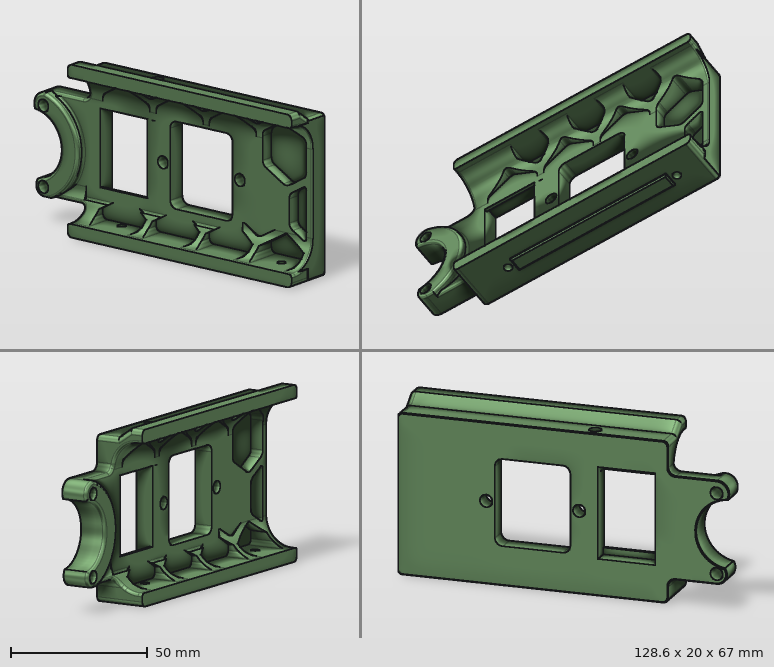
import cadquery as cq
import math

LENGTH = 128.6
DEPTH = 20.0
HEIGHT = 66.0
BLOCK_LEFT = 23.7
CORNER_R = 2.0
BACK_CHAMFER = 0.4
RIM_R = 1.2
END_RELIEF = 0.4
RELIEF_FRONT = 9.6

PLATE_FRONT = 12.7
CHANNEL_R = 10.8
LIP = 5.1
CHANNEL_Y = PLATE_FRONT - CHANNEL_R
CHANNEL_LOW = LIP + CHANNEL_R
CHANNEL_HIGH = HEIGHT - CHANNEL_LOW

STEP_Z = 62.3
SLOPE_FRONT = 5.3
SLOPE_BACK = 10.7

ARM_LOW = 9.4
ARM_HIGH = 49.3
EAR_X = 4.9
EAR_HIGH_R = EAR_X
EAR_LOW_R = 4.0
EAR_HIGH_Z = ARM_HIGH - EAR_HIGH_R
EAR_LOW_Z = ARM_LOW + EAR_LOW_R
RING_X = -0.4
RING_Z = (EAR_HIGH_Z + EAR_LOW_Z) / 2
RING_INNER_R = 13.3
RING_OUTER_R = 21.2
BOSS_FRONT = 9.3
BOSS_BASE_R = 0.9
NECK_R = 3.0

WINDOW_Z = 31.9
SNAP_WINDOW_X = 39.8
SNAP_WINDOW_WIDTH = 22.1
SNAP_WINDOW_HEIGHT = 30.2
SNAP_LIP = 1.3
SNAP_UNDERCUT = 2.6
WIDE_WINDOW_X = 76.2
WIDE_WINDOW_WIDTH = 29.2
WIDE_WINDOW_HEIGHT = 33.5
WIDE_WINDOW_R = 3.0
SCREW_D = 4.8
SCREW_OFFSET = 18.0
TOP_HOLE_X = 53.4
TOP_HOLE_Y = 15.5
TOP_HOLE_DEPTH = 15.5
PIN_D = 3.2

CELL_FLATS = 22.0
CELL_CORNERS = CELL_FLATS * 2 / math.sqrt(3)
CELL_R = 3.0
CELL_PITCH = 25.0
ROW_PITCH = CELL_PITCH * math.sqrt(3) / 2
FIRST_CELL_X = 41.0
CELL_COUNT = 4
LAST_CELL_X = FIRST_CELL_X + (CELL_COUNT - 1) * CELL_PITCH
UPPER_ROW_Z = 46.2
CELL_LIMIT_X = 125.4
DEEP_FLOOR = 17.9
TIGHT_R = 1.0
FLOOR_R = 2.0
POINT_UP = 30

SHELF_LEFT = 22.3
SHELF_RIGHT = 95.6
SHELF_Z = 11.2
SHELF_R = 0.9

KEY_X = (FIRST_CELL_X + LAST_CELL_X) / 2
KEY_Y = DEPTH / 2
KEY_LENGTH = 69.3
KEY_WIDTH = 6.2
KEY_HEIGHT = 1.0
KEY_CHAMFER = 0.6

PAST = 1.3
REACH = 0.1
EDGE_REACH = 0.4


def box(x_min, x_max, y_min, y_max, z_min, z_max):
    size = (x_max - x_min, y_max - y_min, z_max - z_min)
    return cq.Workplane("XY").box(*size, centered=False).translate((x_min, y_min, z_min))


def front_sketch(y_back):
    """Workplane facing the front; extrusions run forward from y_back."""
    return cq.Workplane("XZ", origin=(0, y_back, 0))


def disc(x, z, radius, y_front, y_back):
    return front_sketch(y_back).center(x, z).circle(radius).extrude(y_back - y_front)


def section():
    diagonal = CHANNEL_R * math.sqrt(0.5)
    return (
        cq.Workplane("YZ")
        .moveTo(0, 0)
        .lineTo(DEPTH, 0)
        .lineTo(DEPTH, STEP_Z)
        .lineTo(SLOPE_BACK, STEP_Z)
        .lineTo(SLOPE_FRONT, HEIGHT)
        .lineTo(0, HEIGHT)
        .lineTo(0, HEIGHT - LIP)
        .lineTo(CHANNEL_Y, HEIGHT - LIP)
        .threePointArc((CHANNEL_Y + diagonal, CHANNEL_HIGH + diagonal), (PLATE_FRONT, CHANNEL_HIGH))
        .lineTo(PLATE_FRONT, CHANNEL_LOW)
        .threePointArc((CHANNEL_Y + diagonal, CHANNEL_LOW - diagonal), (CHANNEL_Y, LIP))
        .lineTo(0, LIP)
        .close()
        .extrude(LENGTH)
    )


def outline():
    """Front outline of the block and its arm, through the full depth."""
    block = box(BLOCK_LEFT, LENGTH, 0, DEPTH, 0, HEIGHT)
    block = block.edges("|Y and <Z").fillet(CORNER_R)
    arm = box(EAR_X, BLOCK_LEFT + PAST, 0, DEPTH, ARM_LOW, ARM_HIGH)
    necks = cq.selectors.BoxSelector(
        (BLOCK_LEFT - REACH, -PAST, ARM_LOW - REACH),
        (BLOCK_LEFT + REACH, DEPTH + PAST, ARM_HIGH + REACH),
    )
    return block.union(arm).edges("|Y").edges(necks).fillet(NECK_R)


def round_top_corners(part):
    for x in (BLOCK_LEFT, LENGTH):
        corner = cq.selectors.BoxSelector(
            (x - REACH, REACH, STEP_Z - REACH), (x + REACH, DEPTH, HEIGHT + REACH)
        )
        part = part.edges(corner).fillet(CORNER_R)
    return part


def lip_end(x, z):
    """Selector for the short straight edge at the end of a lip."""
    y = CHANNEL_Y / 2
    return cq.selectors.BoxSelector(
        (x - EDGE_REACH, y - EDGE_REACH, z - EDGE_REACH),
        (x + EDGE_REACH, y + EDGE_REACH, z + EDGE_REACH),
    )


def round_front_rim(part):
    """Round the channel's end edges; each lip edge carries its whole tangent chain."""
    rim = part.edges(lip_end(BLOCK_LEFT, LIP))
    rim = rim.add(part.edges(lip_end(BLOCK_LEFT, HEIGHT - LIP)))
    rim = rim.add(part.edges(lip_end(LENGTH, LIP)))
    return rim.fillet(RIM_R)


def relieve_right_end(part):
    """Set the end of the plate back slightly from the ends of the two lips."""
    left = LENGTH - END_RELIEF
    right = LENGTH + PAST
    part = part.cut(box(left, right, RELIEF_FRONT, DEPTH + PAST, -PAST, HEIGHT + PAST))
    return part.cut(box(left, right, -PAST, DEPTH, LIP, HEIGHT - LIP))


def block_and_arm():
    part = section().intersect(outline())
    part = round_front_rim(round_top_corners(part))
    part = part.faces(">Y").edges().chamfer(BACK_CHAMFER)
    part = relieve_right_end(part)
    return part.cut(disc(RING_X, RING_Z, RING_INNER_R + PAST, 0, DEPTH))


def boss():
    """Crescent carrying both ears, rounded along its front edge."""
    span = (BOSS_FRONT, DEPTH)
    crescent = box(EAR_X, BLOCK_LEFT + PAST, *span, ARM_LOW, ARM_HIGH)
    crescent = crescent.union(disc(EAR_X, EAR_HIGH_Z, EAR_HIGH_R, *span))
    crescent = crescent.union(disc(EAR_X, EAR_LOW_Z, EAR_LOW_R, *span))
    crescent = crescent.cut(disc(RING_X, RING_Z, RING_INNER_R, *span))
    crescent = crescent.intersect(disc(RING_X, RING_Z, RING_OUTER_R, *span))
    return crescent.faces("<Y").edges().fillet(RIM_R).faces(">Y").edges().chamfer(BACK_CHAMFER)


def boss_base():
    """Concave fillet ring where the crescent meets the plate."""
    bend = BOSS_BASE_R * (1 - math.sqrt(0.5))
    inside = RING_OUTER_R - PAST
    step_y = PLATE_FRONT - BOSS_BASE_R
    ring = (
        cq.Workplane("XY")
        .moveTo(inside, PLATE_FRONT)
        .lineTo(RING_OUTER_R + BOSS_BASE_R, PLATE_FRONT)
        .threePointArc((RING_OUTER_R + bend, PLATE_FRONT - bend), (RING_OUTER_R, step_y))
        .lineTo(inside, step_y)
        .close()
        .revolve(360, (0, 0, 0), (0, 1, 0))
        .translate((RING_X, 0, RING_Z))
    )
    return ring.intersect(box(EAR_X, BLOCK_LEFT, 0, DEPTH, ARM_LOW + RIM_R, ARM_HIGH - RIM_R))


def shelf():
    cutter = box(SHELF_LEFT, SHELF_RIGHT, 0, PLATE_FRONT, SHELF_Z, CHANNEL_LOW)
    return cutter.edges("|X and >Y and <Z").fillet(SHELF_R)


def cell(column, row, y_back=PLATE_FRONT, limit_low=0, limit_high=HEIGHT):
    """Hexagonal pocket, cut flat where it would pass the limits; columns may be halves."""
    x = FIRST_CELL_X + column * CELL_PITCH
    z = UPPER_ROW_Z + row * ROW_PITCH
    hexagon = front_sketch(y_back).center(x, z).polygon(6, CELL_CORNERS).extrude(y_back + PAST)
    hexagon = hexagon.rotate((x, 0, z), (x, 1, z), POINT_UP)
    return hexagon.intersect(box(0, CELL_LIMIT_X, -PAST, y_back, limit_low, limit_high))


def honeycomb():
    last = CELL_COUNT - 1
    pockets = []
    for column in range(CELL_COUNT):
        floor = DEEP_FLOOR if column == last else PLATE_FRONT
        pockets.append(cell(column, 0, floor).edges("|Y").fillet(CELL_R))
        foot = cell(column, -2, floor, limit_low=LIP)
        pockets.append(foot.edges("|Y").edges("<Z").fillet(FLOOR_R))
    for column in range(last):
        roof = cell(column + 0.5, 1, limit_high=HEIGHT - LIP)
        roof = roof.edges("|Y").edges(">Z").fillet(TIGHT_R)
        pockets.append(roof.edges("|Y").edges("<Z").fillet(CELL_R))
    pockets.append(cell(last - 0.5, -1).edges("|Y").fillet(CELL_R))
    half = cell(last + 0.5, -1, DEEP_FLOOR)
    half = half.edges("|Y").edges(">X").fillet(TIGHT_R)
    pockets.append(half.edges("|Y").edges("<X").fillet(CELL_R))
    return pockets


def window(x, width, height, y_front=0):
    cutter = box(0, width, y_front, DEPTH + PAST, 0, height)
    return cutter.translate((x - width / 2, 0, WINDOW_Z - height / 2))


def windows():
    """Snap-in window, taller behind its front lip, and a wide window with round corners."""
    snap = window(SNAP_WINDOW_X, SNAP_WINDOW_WIDTH, SNAP_WINDOW_HEIGHT)
    tall = SNAP_WINDOW_HEIGHT + 2 * SNAP_UNDERCUT
    undercut = window(SNAP_WINDOW_X, SNAP_WINDOW_WIDTH, tall, PLATE_FRONT + SNAP_LIP)
    wide = window(WIDE_WINDOW_X, WIDE_WINDOW_WIDTH, WIDE_WINDOW_HEIGHT)
    return [snap, undercut, wide.edges("|Y").fillet(WIDE_WINDOW_R)]


def holes():
    cutters = []
    for x, z in (
        (EAR_X, EAR_LOW_Z),
        (EAR_X, EAR_HIGH_Z),
        (WIDE_WINDOW_X - SCREW_OFFSET, WINDOW_Z),
        (WIDE_WINDOW_X + SCREW_OFFSET, WINDOW_Z),
    ):
        cutters.append(disc(x, z, SCREW_D / 2, 0, DEPTH + PAST))
    for x in (FIRST_CELL_X, LAST_CELL_X):
        pin = cq.Workplane("XY", origin=(x, KEY_Y, -PAST)).circle(PIN_D / 2)
        cutters.append(pin.extrude(LIP + 2 * PAST))
    top = cq.Workplane("XY", origin=(TOP_HOLE_X, TOP_HOLE_Y, STEP_Z)).circle(SCREW_D / 2)
    cutters.append(top.extrude(-TOP_HOLE_DEPTH))
    return cutters


def key():
    bar = box(0, KEY_LENGTH, 0, KEY_WIDTH, -KEY_HEIGHT, PAST)
    bar = bar.translate((KEY_X - KEY_LENGTH / 2, KEY_Y - KEY_WIDTH / 2, 0))
    return bar.faces("<Z").edges().chamfer(KEY_CHAMFER)


result = block_and_arm().union(boss()).union(boss_base())
for cutter in [shelf()] + honeycomb() + windows():
    result = result.cut(cutter)
result = result.union(key())
for cutter in holes():
    result = result.cut(cutter)